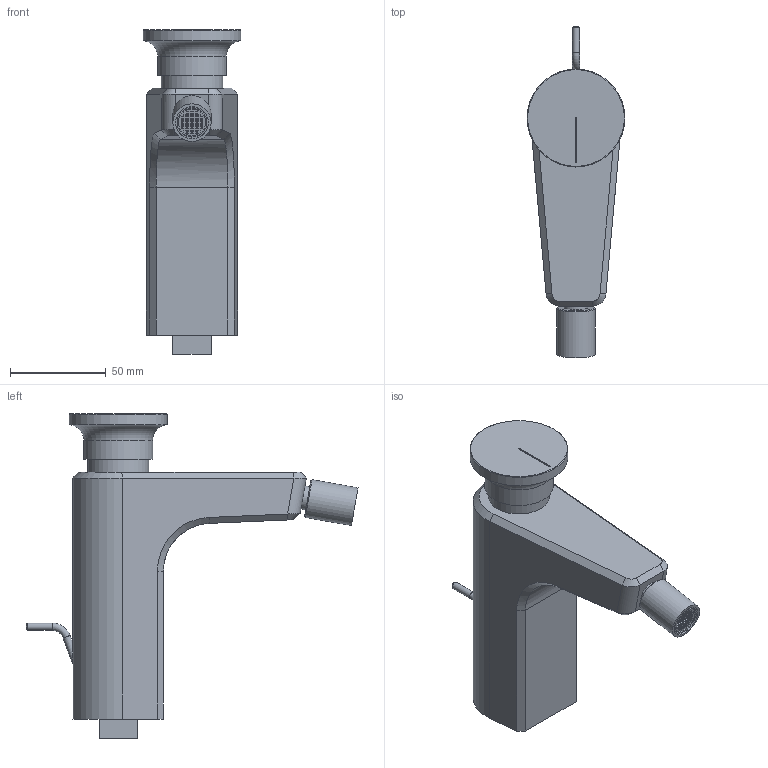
import cadquery as cq
import math

BODY_TOP = 129.0
BACK_RADIUS = 23.9
SIDE_TAPER = 5.2
COLUMN_FRONT_Y = -23.6
EDGE_CHAMFER = 3.1

UNDERSIDE_RADIUS = 25.0
UNDERSIDE_ARC_START_Z = 77.3
UNDERSIDE_SLOPE = 2.5
TILT = 10.0
TIP_TOP_Y = -98.8
TIP_CORNER_RADIUS = 7.0

KNOB_TOP = 159.55
KNOB_RADIUS = 25.6
KNOB_RIM_HEIGHT = 5.75
KNOB_RIM_CHAMFER = 0.3
FLARE_RADIUS = 8.0
COLLAR_RADIUS = 18.0
COLLAR_BOTTOM = 135.8
NECK_RADIUS = 16.0
MARK_LENGTH = 23.0
MARK_WIDTH = 0.7
MARK_DEPTH = 0.4

SHANK_SIDE = 20.0
SHANK_LENGTH = 10.0

NOZZLE_OUTLET_Y = -123.55
NOZZLE_OUTLET_Z = 111.0
NOZZLE_RADIUS = 10.0
NOZZLE_LENGTH = 24.9
NOZZLE_BACK_CHAMFER = 0.5
NOZZLE_RECESS_RADIUS = 8.6
NOZZLE_RECESS_DEPTH = 0.8
NOZZLE_NECK_RADIUS = 6.2
NOZZLE_NECK_LENGTH = 8.0
RING_OUTER_RADIUS = 7.8
RING_INNER_RADIUS = 7.1
MESH_RADIUS = 6.9
MESH_PITCH = 1.3
MESH_HOLE = 0.9
MESH_DEPTH = 1.0

LEVER_RADIUS = 1.9
LEVER_END_Y = 48.2
LEVER_Z = 48.3
LEVER_STRAIGHT = 13.7
LEVER_BEND_RADIUS = 8.0
LEVER_BEND = 70.0
LEVER_TAIL = 22.0
LEVER_TIP_CHAMFER = 0.8


def sine(degrees):
    return math.sin(math.radians(degrees))


def cosine(degrees):
    return math.cos(math.radians(degrees))


def tangent(degrees):
    return math.tan(math.radians(degrees))


def body_plan():
    """Top outline: semicircular back with straight tapered sides tangent to it."""
    front_y = TIP_TOP_Y - EDGE_CHAMFER
    tangent_x = BACK_RADIUS * cosine(SIDE_TAPER)
    tangent_y = -BACK_RADIUS * sine(SIDE_TAPER)
    front_x = tangent_x - (tangent_y - front_y) * tangent(SIDE_TAPER)
    return (
        cq.Workplane("XY")
        .moveTo(front_x, front_y)
        .lineTo(tangent_x, tangent_y)
        .threePointArc((0, BACK_RADIUS), (-tangent_x, tangent_y))
        .lineTo(-front_x, front_y)
        .close()
        .extrude(BODY_TOP)
    )


def body_profile():
    """Side outline: column, curved underside, spout and tilted tip face."""
    center_y = COLUMN_FRONT_Y - UNDERSIDE_RADIUS
    center_z = UNDERSIDE_ARC_START_Z
    middle = (90 - UNDERSIDE_SLOPE) / 2
    arc_middle = (
        center_y + UNDERSIDE_RADIUS * cosine(middle),
        center_z + UNDERSIDE_RADIUS * sine(middle),
    )
    arc_end = (
        center_y + UNDERSIDE_RADIUS * sine(UNDERSIDE_SLOPE),
        center_z + UNDERSIDE_RADIUS * cosine(UNDERSIDE_SLOPE),
    )
    rise_to_top_point = (arc_end[0] - TIP_TOP_Y) * tangent(UNDERSIDE_SLOPE)
    drop = BODY_TOP - arc_end[1] - rise_to_top_point
    tip_height = drop / (1 - tangent(TILT) * tangent(UNDERSIDE_SLOPE))
    tip_bottom = (TIP_TOP_Y + tip_height * tangent(TILT), BODY_TOP - tip_height)
    return (
        cq.Workplane("YZ")
        .moveTo(BACK_RADIUS, 0)
        .lineTo(COLUMN_FRONT_Y, 0)
        .lineTo(COLUMN_FRONT_Y, UNDERSIDE_ARC_START_Z)
        .threePointArc(arc_middle, arc_end)
        .lineTo(*tip_bottom)
        .lineTo(TIP_TOP_Y, BODY_TOP)
        .lineTo(BACK_RADIUS, BODY_TOP)
        .close()
        .extrude(BACK_RADIUS, both=True)
    )


def make_body():
    body = body_plan().intersect(body_profile())
    tip_corners = body.faces("<Y").edges("not #Z").edges("not |X")
    body = tip_corners.fillet(TIP_CORNER_RADIUS)
    body = body.faces(">Z").edges().chamfer(EDGE_CHAMFER)
    front_center = (0, COLUMN_FRONT_Y, UNDERSIDE_ARC_START_Z / 2)
    column_front = body.faces(cq.selectors.NearestToPointSelector(front_center))
    return column_front.edges("|Z").chamfer(EDGE_CHAMFER)


def make_knob():
    rim_bottom = KNOB_TOP - KNOB_RIM_HEIGHT
    flare_bottom = rim_bottom - FLARE_RADIUS
    flare_center_r = COLLAR_RADIUS + FLARE_RADIUS
    flare_end_z = flare_bottom + math.sqrt(FLARE_RADIUS**2 - (flare_center_r - KNOB_RADIUS) ** 2)
    flare_middle = (
        flare_center_r - FLARE_RADIUS * cosine(45),
        flare_bottom + FLARE_RADIUS * sine(45),
    )
    knob = (
        cq.Workplane("XZ")
        .moveTo(0, BODY_TOP - EDGE_CHAMFER)
        .lineTo(NECK_RADIUS, BODY_TOP - EDGE_CHAMFER)
        .lineTo(NECK_RADIUS, COLLAR_BOTTOM)
        .lineTo(COLLAR_RADIUS, COLLAR_BOTTOM)
        .lineTo(COLLAR_RADIUS, flare_bottom)
        .threePointArc(flare_middle, (KNOB_RADIUS, flare_end_z))
        .lineTo(KNOB_RADIUS, KNOB_TOP - KNOB_RIM_CHAMFER)
        .lineTo(KNOB_RADIUS - KNOB_RIM_CHAMFER, KNOB_TOP)
        .lineTo(0, KNOB_TOP)
        .close()
        .revolve(360, (0, 0, 0), (0, 1, 0))
    )
    mark = cq.Workplane("XY").box(MARK_WIDTH, MARK_LENGTH, MARK_DEPTH, centered=(True, True, False))
    return knob.cut(mark.translate((0, -MARK_LENGTH / 2, KNOB_TOP - MARK_DEPTH)))


def mesh_points():
    """Square grid of hole centres lying wholly inside the mesh circle."""
    count = int(MESH_RADIUS / MESH_PITCH)
    reach = MESH_RADIUS - MESH_HOLE * math.sqrt(0.5)
    steps = [i * MESH_PITCH for i in range(-count, count + 1)]
    return [(u, v) for u in steps for v in steps if math.hypot(u, v) <= reach]


def make_nozzle():
    outlet = cq.Plane(
        origin=(0, NOZZLE_OUTLET_Y, NOZZLE_OUTLET_Z),
        xDir=(1, 0, 0),
        normal=(0, -cosine(TILT), -sine(TILT)),
    )
    barrel = cq.Workplane(outlet).circle(NOZZLE_RADIUS).extrude(-NOZZLE_LENGTH)
    back_face = cq.selectors.NearestToPointSelector(outlet.toWorldCoords((0, 0, -NOZZLE_LENGTH)))
    barrel = barrel.faces(back_face).chamfer(NOZZLE_BACK_CHAMFER)
    recess = cq.Workplane(outlet).circle(NOZZLE_RECESS_RADIUS).extrude(-NOZZLE_RECESS_DEPTH)
    holes = (
        cq.Workplane(outlet)
        .pushPoints(mesh_points())
        .rect(MESH_HOLE, MESH_HOLE)
        .extrude(-NOZZLE_RECESS_DEPTH - MESH_DEPTH)
    )
    ring_groove = (
        cq.Workplane(outlet)
        .circle(RING_OUTER_RADIUS)
        .circle(RING_INNER_RADIUS)
        .extrude(-NOZZLE_RECESS_DEPTH - MESH_DEPTH)
    )
    neck = (
        cq.Workplane(outlet)
        .workplane(offset=-NOZZLE_LENGTH)
        .circle(NOZZLE_NECK_RADIUS)
        .extrude(-NOZZLE_NECK_LENGTH)
    )
    return barrel.cut(recess).cut(ring_groove).cut(holes).union(neck)


def make_lever():
    bend_y = LEVER_END_Y - LEVER_STRAIGHT
    bend_center_z = LEVER_Z - LEVER_BEND_RADIUS
    half_bend = LEVER_BEND / 2
    bend_middle = (
        bend_y - LEVER_BEND_RADIUS * sine(half_bend),
        bend_center_z + LEVER_BEND_RADIUS * cosine(half_bend),
    )
    bend_end = (
        bend_y - LEVER_BEND_RADIUS * sine(LEVER_BEND),
        bend_center_z + LEVER_BEND_RADIUS * cosine(LEVER_BEND),
    )
    tail_end = (
        bend_end[0] - LEVER_TAIL * cosine(LEVER_BEND),
        bend_end[1] - LEVER_TAIL * sine(LEVER_BEND),
    )
    path = (
        cq.Workplane("YZ")
        .moveTo(LEVER_END_Y, LEVER_Z)
        .lineTo(bend_y, LEVER_Z)
        .threePointArc(bend_middle, bend_end)
        .lineTo(*tail_end)
    )
    section = cq.Workplane("XZ", origin=(0, LEVER_END_Y, LEVER_Z)).circle(LEVER_RADIUS)
    return section.sweep(path).faces(">Y").chamfer(LEVER_TIP_CHAMFER)


def make_shank():
    return cq.Workplane("XY").rect(SHANK_SIDE, SHANK_SIDE).extrude(-SHANK_LENGTH)


result = make_body().union(make_knob()).union(make_shank()).union(make_nozzle()).union(make_lever())